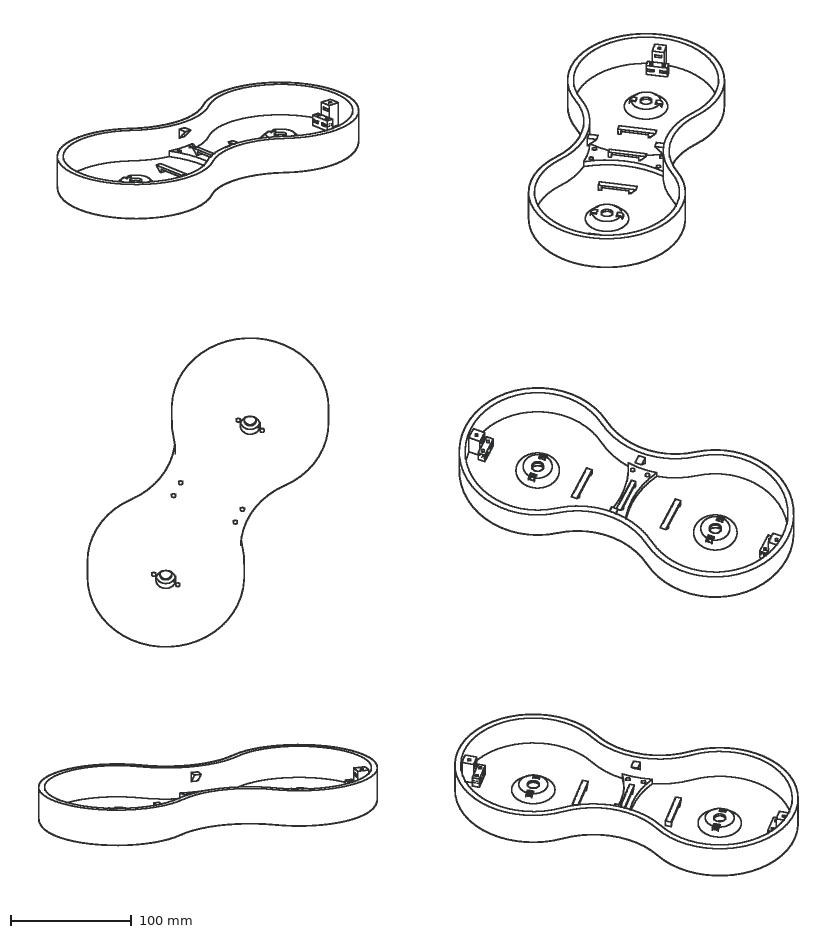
import cadquery as cq
import math

length = 290.0
lobe_radius = 65.0
height = 32.0
wall = 5.0
floor = 5.0
bottom_fillet = 5.0
lobe_y = length / 2 - lobe_radius
waist_radius = lobe_radius
overlap = wall / 2

hub_base_diameter = 36.0
hub_top_diameter = 24.0
hub_height = 5.8
hub_top = floor + hub_height
bore_diameter = 10.0
recess_diameter = 16.5
web_thickness = 2.0
hub_screw_x = 11.0
hub_screw_diameter = 3.5
hub_nut_width = 5.2
hub_nut_depth = 3.5

pad_height = 5.0
pad_edge_radius = 75.0
pad_hole_diameter = 3.5
pad_hole_x = 28.5
pad_hole_y = 6.7

bridge_length = 32.0
bridge_left = -16.8
bridge_width = 5.0
middle_bridge_width = 4.0
bridge_height = 5.0
bridge_thickness = 2.0
bridge_leg = 2.5
bridge_foot = 1.2

lug_reach = 7.8
lug_width = 5.8
lug_top = 27.0

block_width = 18.0
block_depth = 6.0
block_height = 9.0
post_width = 10.0
post_height = 20.0
post_y = 130.0
block_hole_x = 5.2
block_hole_y = post_y - 3.0
post_hole_y = 135.0
mount_hole_diameter = 2.4
mount_hole_depth = 8.0
nut_slot_width = 5.5
nut_slot_height = 2.0
nut_slot_drop = 4.5


def outline(inset, base_z, rise):
    """Extrude the two-lobed outline, offset inwards by `inset`."""
    lobe = lobe_radius - inset
    waist = waist_radius + inset
    waist_x = math.sqrt((lobe + waist) ** 2 - lobe_y ** 2)
    share = lobe / (lobe + waist)
    tangent_x = waist_x * share
    tangent_y = lobe_y * (1 - share)
    end_y = lobe_y + lobe
    neck_x = waist_x - waist
    return (
        cq.Workplane("XY", origin=(0, 0, base_z))
        .moveTo(tangent_x, tangent_y)
        .threePointArc((0, end_y), (-tangent_x, tangent_y))
        .threePointArc((-neck_x, 0), (-tangent_x, -tangent_y))
        .threePointArc((0, -end_y), (tangent_x, -tangent_y))
        .threePointArc((neck_x, 0), (tangent_x, tangent_y))
        .close()
        .extrude(rise)
    )


def box(size_x, size_y, size_z, x, y, base_z):
    """Box centred on x and y that stands on base_z."""
    return (
        cq.Workplane("XY", origin=(x, y, base_z))
        .box(size_x, size_y, size_z, centered=(True, True, False))
    )


def cylinder(diameter, x, y, base_z, top_z):
    return cq.Workplane("XY", origin=(x, y, base_z)).circle(diameter / 2).extrude(top_z - base_z)


def tray():
    shell = outline(0, 0, height).faces("<Z").edges().fillet(bottom_fillet)
    return shell.cut(outline(wall, floor, height))


def waist_pad():
    """Pad bounded by the waist walls and by an arc around each lobe centre."""
    pad = outline(overlap, floor, pad_height)
    for side in (-1, 1):
        pad = pad.cut(cylinder(2 * pad_edge_radius, 0, side * lobe_y, 0, height))
    return pad


def bridge(y, width, base_z):
    """Flat bar on two legs; the outer face of the -X leg leans inwards at 45 degrees."""
    bar_right = bridge_left + bridge_length
    foot_left = bridge_left + bridge_height
    opening_left = foot_left + bridge_foot
    opening_right = bar_right - bridge_leg
    gap = bridge_height - bridge_thickness
    return (
        cq.Workplane("XZ", origin=(0, y, base_z))
        .moveTo(bridge_left, bridge_height)
        .lineTo(foot_left, 0)
        .lineTo(opening_left, 0)
        .lineTo(opening_left, gap)
        .lineTo(opening_right, gap)
        .lineTo(opening_right, 0)
        .lineTo(bar_right, 0)
        .lineTo(bar_right, bridge_height)
        .close()
        .extrude(width / 2, both=True)
    )


def waist_lug():
    """Lug on the +X waist wall with a flat top and a 45 degree underside."""
    wall_x = math.sqrt((lobe_radius + waist_radius) ** 2 - lobe_y ** 2) - waist_radius - wall
    tip_x = wall_x - lug_reach
    root_x = wall_x + overlap
    return (
        cq.Workplane("XZ")
        .moveTo(tip_x, lug_top)
        .lineTo(root_x, lug_top)
        .lineTo(root_x, lug_top - (root_x - tip_x))
        .close()
        .extrude(lug_width / 2, both=True)
    )


def hub():
    cone = (
        cq.Workplane("XY", origin=(0, lobe_y, floor))
        .circle(hub_base_diameter / 2)
        .workplane(offset=hub_height)
        .circle(hub_top_diameter / 2)
        .loft()
    )
    return cone


def hub_holes():
    """Centre bore, wider recess from below and two screw holes with square nut pockets."""
    holes = cylinder(bore_diameter, 0, lobe_y, 0, hub_top)
    holes = holes.union(cylinder(recess_diameter, 0, lobe_y, 0, hub_top - web_thickness))
    for x in (-hub_screw_x, hub_screw_x):
        holes = holes.union(cylinder(hub_screw_diameter, x, lobe_y, 0, hub_top))
        holes = holes.union(box(hub_nut_width, hub_nut_width, hub_nut_depth, x, lobe_y, hub_top - hub_nut_depth))
    return holes


def mount_hole(x, y, top_z, front_y):
    """Screw hole from the top with a nut slot that opens on the face at front_y."""
    hole = cylinder(mount_hole_diameter, x, y, top_z - mount_hole_depth, top_z)
    slot_depth = y - front_y + nut_slot_width / 2
    slot_z = top_z - nut_slot_drop - nut_slot_height / 2
    slot = box(nut_slot_width, slot_depth, nut_slot_height, x, front_y + slot_depth / 2, slot_z)
    return hole.union(slot)


def end_mount():
    """Low block with two screw holes in front of a taller post with one, at the +Y end."""
    front_y = post_y - block_depth
    post_end = length / 2 - wall + overlap
    post_depth = post_end - post_y
    mount = box(block_width, block_depth, block_height, 0, front_y + block_depth / 2, floor)
    mount = mount.union(box(post_width, post_depth, post_height, 0, post_y + post_depth / 2, floor))
    for x in (-block_hole_x, block_hole_x):
        mount = mount.cut(mount_hole(x, block_hole_y, floor + block_height, front_y))
    return mount.cut(mount_hole(0, post_hole_y, floor + post_height, post_y))


def both_ends(shape):
    return shape.union(shape.mirror("XZ"))


pad_top = floor + pad_height

result = tray().union(waist_pad())
result = result.union(bridge(0, middle_bridge_width, pad_top))
result = result.union(both_ends(bridge(lobe_y / 2, bridge_width, floor)))
result = result.union(waist_lug()).union(waist_lug().mirror("YZ"))
result = result.union(both_ends(hub())).union(both_ends(end_mount()))
result = result.cut(both_ends(hub_holes()))

for pad_x in (-pad_hole_x, pad_hole_x):
    for pad_y in (-pad_hole_y, pad_hole_y):
        result = result.cut(cylinder(pad_hole_diameter, pad_x, pad_y, 0, pad_top))